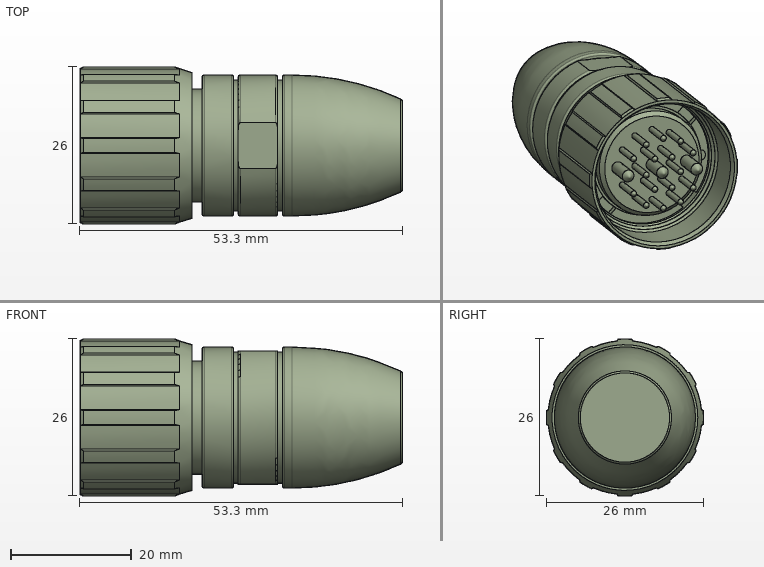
import cadquery as cq
import math

LENGTH = 53.3

NUT_END = 18.5
NUT_RADIUS = 12.75
RIB_RADIUS = 13.0
RIB_COUNT = 12
RIB_TOP_WIDTH = 2.2
RIB_BASE_WIDTH = 2.7
RIB_FOOT_RADIUS = 12.65
NOSE_CHAMFER = 0.55
REAR_CONE_START = 15.6
REAR_CONE_END_RADIUS = 12.05
MOUTH_RADIUS = 12.25
MOUTH_CHAMFER = 0.8
BORE_RADIUS = 11.85
BORE_END = 6.95
STEP_RADII = (11.45, 11.05, 10.75)
STEP_LAND = 0.1
COLLAR_BORE_RADIUS = STEP_RADII[-1]

COLLAR_FACE = 8.8
COLLAR_END = 14.1
NECK_RADIUS = 9.4
RING_RADIUS = 11.65
RING_FILLET = 0.35
FRONT_RING = (20.15, 25.35)
WRENCH_RING = (26.1, 32.6)
GROOVE_RADIUS = 10.85
FLAT_HEIGHT = 11.05
COLLAR_SLOT_WIDTH = 3.25
COLLAR_SLOT_DEPTH = 1.05
COLLAR_SLOT_ANGLES = (45, 135, 225, 315)

CAP_START = 33.4
DOME_START = 35.0
DOME_ARC_RADIUS = 42.65
CAP_END_CHAMFER = 0.3

FLANGE_RADIUS = NECK_RADIUS
FLANGE_LENGTH = 2.65
KEY_RADIUS = 0.9
INSERT_RADIUS = 8.95
INSERT_FACE = 6.3
INSERT_FACE_RADIUS = 8.25
INSERT_CHAMFER = INSERT_RADIUS - INSERT_FACE_RADIUS
PIN_TIP = 0.05
SMALL_PIN_RADIUS = 0.505
LARGE_PIN_RADIUS = 1.0
OUTER_PIN_CIRCLE = 6.0
INNER_PIN_CIRCLE = OUTER_PIN_CIRCLE / 2
OUTER_PIN_COUNT = 12
INNER_PIN_COUNT = 6


def revolved(points):
    """Solid of revolution about the X axis from (x, radius) points."""
    return cq.Workplane("XY").polyline(points).close().revolve(360, (0, 0, 0), (1, 0, 0))


def cylinder(start, end, radius, y=0, z=0):
    """Cylinder parallel to the X axis."""
    return cq.Workplane("YZ", origin=(start, y, z)).circle(radius).extrude(end - start)


def rounded_ring(start, end):
    """Disc of RING_RADIUS with both rims rounded."""
    return cylinder(start, end, RING_RADIUS).edges().fillet(RING_FILLET)


def make_nut_bore():
    """Space inside the coupling nut, narrowing in steps towards the collar."""
    steps = [(BORE_END, BORE_RADIUS)]
    x, previous_radius = steps[0]
    for radius in STEP_RADII:
        x += previous_radius - radius
        steps.append((x, radius))
        x += STEP_LAND
        steps.append((x, radius))
        previous_radius = radius
    return revolved([
        (0, 0),
        (0, MOUTH_RADIUS),
        (MOUTH_CHAMFER, BORE_RADIUS),
        *steps,
        (COLLAR_END, COLLAR_BORE_RADIUS),
        (COLLAR_END, NECK_RADIUS),
        (NUT_END, NECK_RADIUS),
        (NUT_END, 0),
    ])


def make_coupling_nut():
    """Ribbed sleeve whose ribs run out into the nose chamfer and the rear cone."""
    envelope = revolved([
        (0, 0),
        (0, NUT_RADIUS),
        (NOSE_CHAMFER, RIB_RADIUS),
        (REAR_CONE_START, RIB_RADIUS),
        (NUT_END, REAR_CONE_END_RADIUS),
        (NUT_END, 0),
    ])
    sleeve = cylinder(0, NUT_END, NUT_RADIUS)
    for i in range(RIB_COUNT):
        rib = (
            cq.Workplane("YZ")
            .polyline([
                (-RIB_BASE_WIDTH / 2, BORE_RADIUS),
                (-RIB_BASE_WIDTH / 2, RIB_FOOT_RADIUS),
                (-RIB_TOP_WIDTH / 2, RIB_RADIUS),
                (RIB_TOP_WIDTH / 2, RIB_RADIUS),
                (RIB_BASE_WIDTH / 2, RIB_FOOT_RADIUS),
                (RIB_BASE_WIDTH / 2, BORE_RADIUS),
            ])
            .close()
            .extrude(NUT_END)
            .rotate((0, 0, 0), (1, 0, 0), i * 360 / RIB_COUNT)
        )
        sleeve = sleeve.union(rib)
    return sleeve.intersect(envelope).cut(make_nut_bore())


def make_flange():
    """Insert flange with its round key on the -Y side."""
    end = COLLAR_FACE + FLANGE_LENGTH
    flange = cylinder(COLLAR_FACE, end, FLANGE_RADIUS)
    return flange.union(cylinder(COLLAR_FACE, end, KEY_RADIUS, y=-FLANGE_RADIUS))


def make_housing():
    """Slotted collar, neck, front ring and wrench ring, with a seat for the insert flange."""
    housing = cylinder(COLLAR_FACE, COLLAR_END, COLLAR_BORE_RADIUS)
    housing = housing.union(cylinder(COLLAR_FACE, FRONT_RING[0], NECK_RADIUS))
    housing = housing.union(cylinder(FRONT_RING[1] - RING_FILLET, CAP_START, GROOVE_RADIUS))
    housing = housing.union(rounded_ring(*FRONT_RING))
    flats = cq.Workplane("XY").box(2 * LENGTH, 2 * RING_RADIUS, 2 * FLAT_HEIGHT)
    housing = housing.union(rounded_ring(*WRENCH_RING).intersect(flats))
    for angle in COLLAR_SLOT_ANGLES:
        slot = (
            cq.Workplane("XY")
            .box(COLLAR_SLOT_DEPTH, 2 * RING_RADIUS, COLLAR_SLOT_WIDTH, centered=(False, False, True))
            .translate((COLLAR_FACE, 0, 0))
            .rotate((0, 0, 0), (1, 0, 0), angle)
        )
        housing = housing.cut(slot)
    return housing.cut(make_flange())


def make_clamping_nut():
    """Rear cap whose dome arc is tangent to its cylindrical front."""
    arc_end = LENGTH - CAP_END_CHAMFER
    run = arc_end - DOME_START

    def dome_radius(distance):
        drop = DOME_ARC_RADIUS - math.sqrt(DOME_ARC_RADIUS**2 - distance**2)
        return RING_RADIUS - drop

    end_radius = dome_radius(run)
    return (
        cq.Workplane("XY")
        .moveTo(CAP_START, 0)
        .lineTo(CAP_START, RING_RADIUS - RING_FILLET)
        .radiusArc((CAP_START + RING_FILLET, RING_RADIUS), RING_FILLET)
        .lineTo(DOME_START, RING_RADIUS)
        .threePointArc((DOME_START + run / 2, dome_radius(run / 2)), (arc_end, end_radius))
        .lineTo(LENGTH, end_radius - CAP_END_CHAMFER)
        .lineTo(LENGTH, 0)
        .close()
        .revolve(360, (0, 0, 0), (1, 0, 0))
    )


def make_pin(radius, circle_radius, angle):
    """Pin with a conical tip, placed on a circle at an angle from the +Y axis."""
    y = circle_radius * math.cos(math.radians(angle))
    z = circle_radius * math.sin(math.radians(angle))
    pin = revolved([
        (PIN_TIP, 0),
        (PIN_TIP + radius, radius),
        (COLLAR_FACE, radius),
        (COLLAR_FACE, 0),
    ])
    return pin.translate((0, y, z))


def make_insert():
    """Flanged insert with its pins in two rings around a central one."""
    insert = make_flange().union(revolved([
        (INSERT_FACE, 0),
        (INSERT_FACE, INSERT_FACE_RADIUS),
        (INSERT_FACE + INSERT_CHAMFER, INSERT_RADIUS),
        (COLLAR_FACE, INSERT_RADIUS),
        (COLLAR_FACE, 0),
    ]))
    insert = insert.union(make_pin(LARGE_PIN_RADIUS, 0, 0))
    for i in range(INNER_PIN_COUNT):
        insert = insert.union(make_pin(SMALL_PIN_RADIUS, INNER_PIN_CIRCLE, i * 360 / INNER_PIN_COUNT))
    for i in range(OUTER_PIN_COUNT):
        on_y_axis = i % (OUTER_PIN_COUNT // 2) == 0
        radius = LARGE_PIN_RADIUS if on_y_axis else SMALL_PIN_RADIUS
        insert = insert.union(make_pin(radius, OUTER_PIN_CIRCLE, i * 360 / OUTER_PIN_COUNT))
    return insert


coupling_nut = make_coupling_nut()
housing = make_housing()
clamping_nut = make_clamping_nut()
insert = make_insert()

result = cq.Compound.makeCompound([
    coupling_nut.val(),
    housing.val(),
    clamping_nut.val(),
    insert.val(),
])